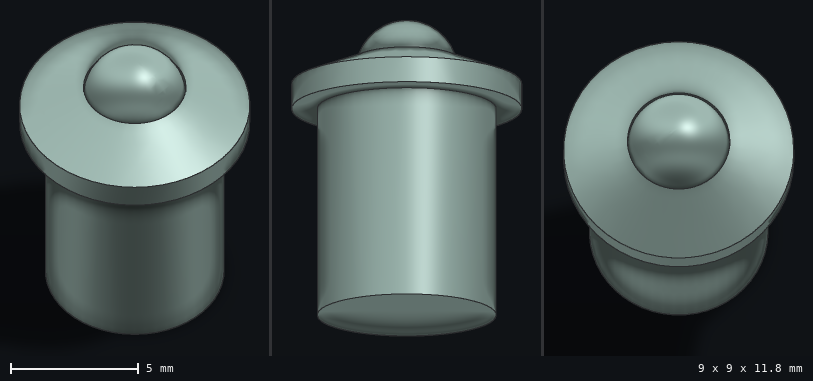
import cadquery as cq

total_height = 11.8
body_diameter = 7.0
flange_diameter = 9.0
ball_diameter = 4.0
rim_height = 1.0
cone_height = 1.0
ball_protrusion = 1.5

body_radius = body_diameter / 2
flange_radius = flange_diameter / 2
ball_radius = ball_diameter / 2
ball_center_z = total_height - ball_radius
mouth_z = total_height - ball_protrusion
rim_top_z = mouth_z - cone_height
rim_bottom_z = rim_top_z - rim_height


def make_ball():
    """Full sphere seated in the socket."""
    return cq.Workplane("XY").sphere(ball_radius).translate((0, 0, ball_center_z))


def make_housing():
    """Flanged sleeve with a round-bottomed socket, revolved about Z."""
    half_profile = (
        cq.Workplane("XZ")
        .moveTo(0, 0)
        .lineTo(body_radius, 0)
        .lineTo(body_radius, rim_bottom_z)
        .lineTo(flange_radius, rim_bottom_z)
        .lineTo(flange_radius, rim_top_z)
        .lineTo(ball_radius, mouth_z)
        .lineTo(ball_radius, ball_center_z)
        .radiusArc((0, ball_center_z - ball_radius), ball_radius)
        .close()
    )
    return half_profile.revolve(360, (0, 0, 0), (0, 1, 0))


housing = make_housing()
ball = make_ball()

result = cq.Compound.makeCompound([housing.val(), ball.val()])